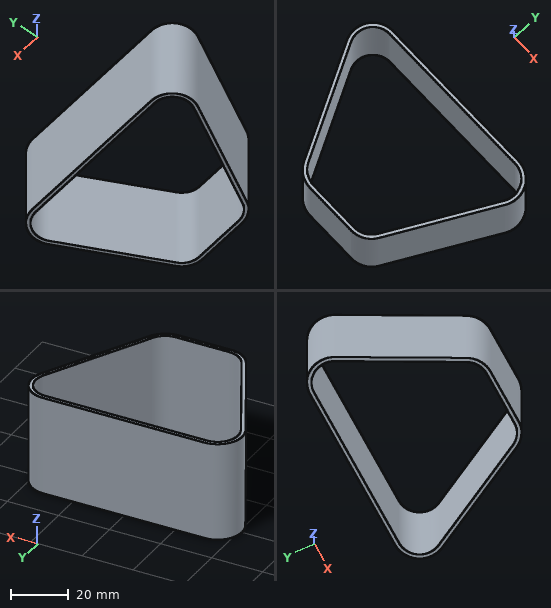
import cadquery as cq

height = 38.49
width = 82.46
depth = 59.2
corner_radius = 9.6
wall = 1.6
front_flat = 20.8

rear_center_x = width / 2 - corner_radius
front_center_x = front_flat / 2
center_y = depth / 2 - corner_radius


def rounded_trapezoid(radius):
    """Solid prism whose corner arcs have the given radius about the corner centres."""
    centers = [
        (-front_center_x, -center_y),
        (front_center_x, -center_y),
        (rear_center_x, center_y),
        (-rear_center_x, center_y),
    ]
    return cq.Workplane("XY").polyline(centers).close().offset2D(radius).extrude(height)


outer = rounded_trapezoid(corner_radius)
inner = rounded_trapezoid(corner_radius - wall)
result = outer.cut(inner)